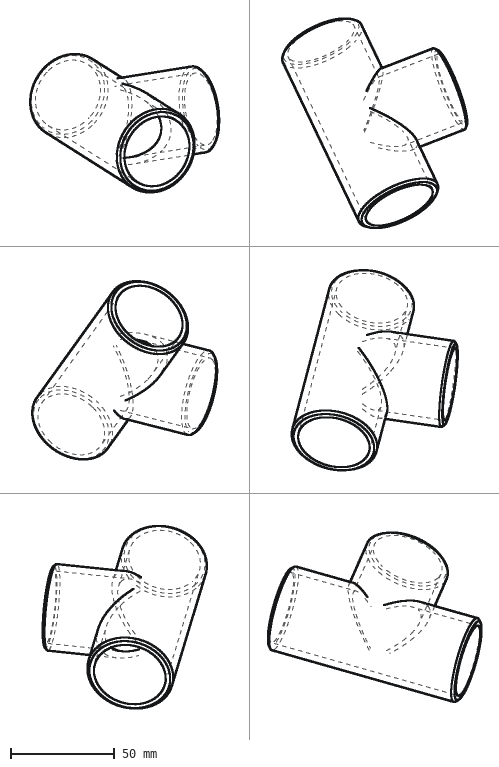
import cadquery as cq

run_length = 95.5
outer_diameter = 42.1
bore_diameter = 35.1
end_chamfer = 1.2

branch_length = run_length / 2


def run_cylinder(diameter):
    """Cylinder along X, centred on the origin."""
    return cq.Workplane("YZ").circle(diameter / 2).extrude(run_length / 2, both=True)


def branch_cylinder(diameter):
    """Cylinder from the run axis out along +Y."""
    return cq.Workplane("XZ").circle(diameter / 2).extrude(-branch_length)


run_body = run_cylinder(outer_diameter).faces("<X or >X").chamfer(end_chamfer)
branch_body = branch_cylinder(outer_diameter).faces(">Y").chamfer(end_chamfer)

result = (
    run_body.union(branch_body)
    .cut(run_cylinder(bore_diameter))
    .cut(branch_cylinder(bore_diameter))
)